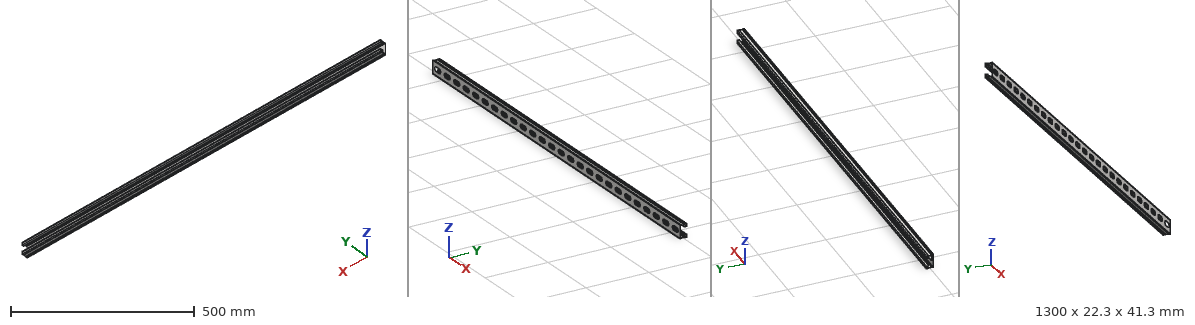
import cadquery as cq

LENGTH = 1300.0
DEPTH = 22.27
HEIGHT = 41.3
SHEET = 1.5

MOUTH_HEIGHT = 22.5
LIP_RETURN = 7.4

GROOVE_START = 4.5
GROOVE_END = 16.1
GROOVE_DEPTH = 1.0
GROOVE_RAMP = 1.5

SLOT_LENGTH = 30.0
SLOT_HEIGHT = 13.5
SLOT_PITCH = 50.0
SLOT_COUNT = int(LENGTH / SLOT_PITCH)


def flange_surface(z):
    """Points from web side to open side of a grooved flange surface whose flat part is at height z."""
    floor = z - GROOVE_DEPTH
    return [
        (GROOVE_START, z),
        (GROOVE_START + GROOVE_RAMP, floor),
        (GROOVE_END - GROOVE_RAMP, floor),
        (GROOVE_END, z),
    ]


def channel():
    """Bent-sheet section, outlined for +Z and mirrored to -Z, extruded along X."""
    top = HEIGHT / 2
    flange_inside = top - SHEET
    mouth = MOUTH_HEIGHT / 2
    outside = [(0, top)] + flange_surface(top) + [(DEPTH, top)]
    lip = [
        (DEPTH, mouth),
        (DEPTH - LIP_RETURN, mouth),
        (DEPTH - LIP_RETURN, mouth + SHEET),
        (DEPTH - SHEET, mouth + SHEET),
    ]
    inside = [(SHEET, flange_inside)] + flange_surface(flange_inside) + [(DEPTH - SHEET, flange_inside)]
    upper = outside + lip + inside[::-1]
    lower = [(y, -z) for y, z in reversed(upper)]
    return cq.Workplane("YZ").polyline(upper + lower).close().extrude(LENGTH)


def slots():
    """Cutters for the evenly spaced web slots."""
    centres = [(SLOT_PITCH / 2 + SLOT_PITCH * index, 0) for index in range(SLOT_COUNT)]
    return cq.Workplane("XZ").pushPoints(centres).slot2D(SLOT_LENGTH, SLOT_HEIGHT).extrude(-SHEET)


result = channel().cut(slots())